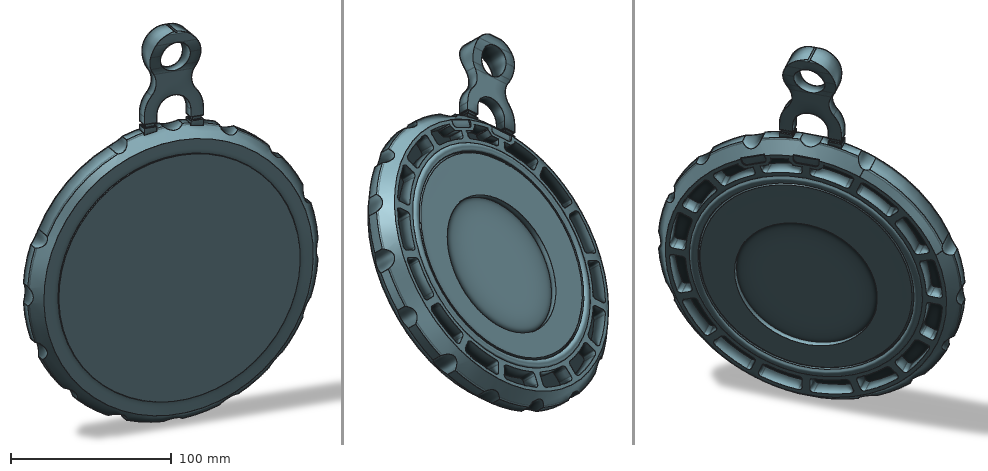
import cadquery as cq
import math

STEP_ANGLE = 22.5
STEPS = 16

clearance = 2.5

rim_radius = 99.0
rim_flat_half = 3.5
rim_edge_half = 4.2
rim_edge_drop = 0.8
face_half = 12.0
face_radius = 91.7
raised_height = 1.45
back_disc_radius = 164.3 / 2

bead_outer_radius = 76.0
bead_crest_radius = 73.5
groove_radius = 70.5
groove_depth = 2.0
disc_radius = 138.5 / 2

recess_radius = 93.0 / 2
recess_drop = 6.3
recess_depth = 4.0

lowered_centre_angle = -45.0
lowered_radius = 96.0
lowered_flat_half = 6.0
lowered_edge_half = 7.3
lowered_front_drop = 0.5
lowered_back_drop = 0.3

shallow_notch_radius = 10.0
shallow_notch_depth = 2.5
deep_notch_radius = 8.0
deep_notch_depth = 4.0

pocket_inner_radius = 78.5
pocket_outer_radius = 89.0
pocket_rib = 5.0
pocket_corner = 2.4
pocket_depth = 10.5

slot_angles = (0.0, STEP_ANGLE)
slot_half_width = 8.5
slot_bottom = 86.2
slot_top = 91.7
slot_corner = 2.5
slot_depth = 1.0
slot_wall = 2.0
slot_guard_slope = 3.1

hanger_x = 1.0
eye_z = 146.0
eye_radius = 17.3
eye_hole_radius = 20.2 / 2
eye_thickness = 15.5
eye_edge_fillet = 1.3
eye_groove_diameter = 1.3
strap_thickness = 7.5
taper_top = 152.0
taper_top_fillet = 30.5
taper_bottom = 137.3
taper_bottom_fillet = 15.2
arch_z = 108.0
arch_inner_radius = 11.5
arch_outer_radius = 20.2
waist_radius = 12.0
leg_bottom = 102.7
neck_bottom = 100.6
neck_inset_x = 0.8
neck_inset_y = 1.3
foot_bottom = 94.4
foot_chamfer = 0.5
level_tolerance = 0.3


def around(shape, angle):
    """Turn a shape about the wheel axis from the +Z position to the given angle."""
    return shape.rotate((0, 0, 0), (1, 0, 0), -angle)


def turned(profile, sweep=360.0):
    """Revolve an XZ profile about the wheel axis."""
    return profile.close().revolve(sweep, (0, 0, 0), (1, 0, 0))


def make_wheel():
    front = -face_half
    profile = (
        cq.Workplane("XZ")
        .moveTo(front, 0)
        .lineTo(front, disc_radius)
        .lineTo(front + groove_depth, groove_radius)
        .lineTo(front, groove_radius)
        .threePointArc((front - raised_height, bead_crest_radius), (front, bead_outer_radius))
        .lineTo(front, face_radius)
        .lineTo(-rim_edge_half, rim_radius - rim_edge_drop)
        .lineTo(-rim_flat_half, rim_radius)
        .lineTo(rim_flat_half, rim_radius)
        .lineTo(rim_edge_half, rim_radius - rim_edge_drop)
        .lineTo(face_half, face_radius)
        .lineTo(face_half, back_disc_radius)
        .lineTo(face_half + raised_height, back_disc_radius)
        .lineTo(face_half + raised_height, 0)
    )
    return turned(profile)


def lowered_rim_cutter():
    """Material to take off the rim over one lowered stretch, two steps long."""
    outside = rim_radius + clearance
    front_edge_radius = lowered_radius - lowered_front_drop
    back_edge_radius = lowered_radius - lowered_back_drop
    profile = (
        cq.Workplane("XZ")
        .moveTo(-face_half, outside)
        .lineTo(-face_half, face_radius)
        .lineTo(-lowered_edge_half, front_edge_radius)
        .lineTo(-lowered_flat_half, lowered_radius)
        .lineTo(lowered_flat_half, lowered_radius)
        .lineTo(lowered_edge_half, back_edge_radius)
        .lineTo(lowered_edge_half, outside)
    )
    sweep = 2 * STEP_ANGLE
    return around(turned(profile, sweep).rotate((0, 0, 0), (1, 0, 0), -sweep / 2), lowered_centre_angle)


def notch_cutter(index):
    deep = index % 2 == 1
    radius = deep_notch_radius if deep else shallow_notch_radius
    depth = deep_notch_depth if deep else shallow_notch_depth
    notch = (
        cq.Workplane("YZ")
        .center(0, rim_radius - depth + radius)
        .circle(radius)
        .extrude(face_half, both=True)
    )
    return around(notch, index * STEP_ANGLE)


def slot_guard():
    """Block around a label slot that the pockets must leave standing."""
    bottom = slot_bottom - slot_wall
    wide = slot_half_width + slot_guard_slope
    return (
        cq.Workplane("YZ", origin=(-face_half, 0, 0))
        .moveTo(-slot_half_width, bottom)
        .lineTo(slot_half_width, bottom)
        .lineTo(wide, bottom + slot_guard_slope)
        .lineTo(wide, rim_radius)
        .lineTo(-wide, rim_radius)
        .lineTo(-wide, bottom + slot_guard_slope)
        .close()
        .extrude(pocket_depth)
    )


def pocket_cutter():
    """One pocket centred on +Z, with sides parallel to the ribs beside it."""
    half_step = math.radians(STEP_ANGLE / 2)

    def corner(radius, side):
        angle = half_step - math.asin(pocket_rib / 2 / radius)
        return side * radius * math.sin(angle), radius * math.cos(angle)

    return (
        cq.Workplane("YZ", origin=(-face_half, 0, 0))
        .moveTo(*corner(pocket_inner_radius, -1))
        .threePointArc((0, pocket_inner_radius), corner(pocket_inner_radius, 1))
        .lineTo(*corner(pocket_outer_radius, 1))
        .threePointArc((0, pocket_outer_radius), corner(pocket_outer_radius, -1))
        .close()
        .extrude(pocket_depth)
        .edges("|X")
        .fillet(pocket_corner)
    )


def slot_cutter():
    return (
        cq.Workplane("YZ", origin=(-face_half, 0, 0))
        .moveTo(0, (slot_bottom + slot_top) / 2)
        .rect(2 * slot_half_width, slot_top - slot_bottom)
        .extrude(slot_depth)
        .edges("|X and <Z")
        .fillet(slot_corner)
    )


def leg_block(bottom, top, inset_x=0.0, inset_y=0.0):
    """The pair of square sections below the arch, drawn in from the strap by the insets."""
    width = arch_outer_radius - arch_inner_radius
    middle = (arch_outer_radius + arch_inner_radius) / 2
    return (
        cq.Workplane("XY", origin=(hanger_x, 0, bottom))
        .pushPoints([(0, -middle), (0, middle)])
        .rect(strap_thickness - 2 * inset_x, width - 2 * inset_y)
        .extrude(top - bottom)
    )


def waist_arc():
    """Ends and middle of the hollow arc that joins the arch to the eye on the +Y side."""
    to_arch = arch_outer_radius + waist_radius
    to_eye = eye_radius + waist_radius
    span = eye_z - arch_z
    rise = (span**2 + to_arch**2 - to_eye**2) / (2 * span)
    centre_y = math.sqrt(to_arch**2 - rise**2)
    centre_z = arch_z + rise
    start = (centre_y * arch_outer_radius / to_arch, arch_z + rise * arch_outer_radius / to_arch)
    middle = (centre_y - waist_radius, centre_z)
    end = (centre_y * eye_radius / to_eye, eye_z - (span - rise) * eye_radius / to_eye)
    return start, middle, end


def level_selector(height):
    """Selects what lies at one height of the hanger."""
    return cq.selectors.BoxSelector(
        (hanger_x - eye_thickness, -arch_outer_radius, height - level_tolerance),
        (hanger_x + eye_thickness, arch_outer_radius, height + level_tolerance),
    )


def make_hanger():
    start, middle, end = waist_arc()

    def mirrored(point):
        return -point[0], point[1]

    shoulder_angle = math.atan2(start[1] - arch_z, start[0]) / 2
    shoulder = (
        arch_outer_radius * math.cos(shoulder_angle),
        arch_z + arch_outer_radius * math.sin(shoulder_angle),
    )
    outline = (
        cq.Workplane("YZ", origin=(hanger_x, 0, 0))
        .moveTo(arch_outer_radius, leg_bottom)
        .lineTo(arch_outer_radius, arch_z)
        .threePointArc(shoulder, start)
        .threePointArc(middle, end)
        .threePointArc((0, eye_z + eye_radius), mirrored(end))
        .threePointArc(mirrored(middle), mirrored(start))
        .threePointArc(mirrored(shoulder), (-arch_outer_radius, arch_z))
        .lineTo(-arch_outer_radius, leg_bottom)
        .lineTo(-arch_inner_radius, leg_bottom)
        .lineTo(-arch_inner_radius, arch_z)
        .threePointArc((0, arch_z + arch_inner_radius), (arch_inner_radius, arch_z))
        .lineTo(arch_inner_radius, leg_bottom)
        .close()
        .extrude(eye_thickness / 2, both=True)
    )
    half_eye = eye_thickness / 2
    half_strap = strap_thickness / 2
    eye_top = eye_z + eye_radius
    side_profile = (
        cq.Workplane("XZ", origin=(hanger_x, 0, 0))
        .moveTo(-half_strap, leg_bottom)
        .lineTo(half_strap, leg_bottom)
        .lineTo(half_strap, taper_bottom)
        .lineTo(half_eye, taper_top)
        .lineTo(half_eye, eye_top)
        .lineTo(-half_eye, eye_top)
        .lineTo(-half_eye, taper_top)
        .lineTo(-half_strap, taper_bottom)
        .close()
        .extrude(arch_outer_radius, both=True)
    )
    for height, radius in (
        (taper_top, taper_top_fillet),
        (taper_bottom, taper_bottom_fillet),
        (eye_top, eye_edge_fillet),
    ):
        side_profile = side_profile.edges("|Y").edges(level_selector(height)).fillet(radius)
    eye_hole = (
        cq.Workplane("YZ", origin=(hanger_x, 0, 0))
        .center(0, eye_z)
        .circle(eye_hole_radius)
        .extrude(eye_thickness, both=True)
    )
    eye_groove = (
        cq.Workplane("YZ", origin=(hanger_x, 0, 0))
        .center(0, eye_top)
        .circle(eye_groove_diameter / 2)
        .extrude(eye_thickness, both=True)
    )
    feet = leg_block(foot_bottom, neck_bottom).faces(">Z").chamfer(foot_chamfer)
    necks = leg_block(neck_bottom, leg_bottom, neck_inset_x, neck_inset_y)
    eye_and_arch = outline.intersect(side_profile).cut(eye_hole).cut(eye_groove)
    return eye_and_arch.union(necks).union(feet)


wheel = make_wheel().cut(lowered_rim_cutter())

for index in range(STEPS):
    if (index * STEP_ANGLE - lowered_centre_angle) % 360 != 0:
        wheel = wheel.cut(notch_cutter(index))

guards = [around(slot_guard(), angle) for angle in slot_angles]
for index in range(STEPS):
    pocket = around(pocket_cutter(), (index + 0.5) * STEP_ANGLE)
    for guard in guards:
        pocket = pocket.cut(guard)
    wheel = wheel.cut(pocket)

for angle in slot_angles:
    wheel = wheel.cut(around(slot_cutter(), angle))

recess = (
    cq.Workplane("YZ", origin=(-face_half, 0, 0))
    .center(0, -recess_drop)
    .circle(recess_radius)
    .extrude(recess_depth)
)

result = wheel.cut(recess).union(make_hanger())